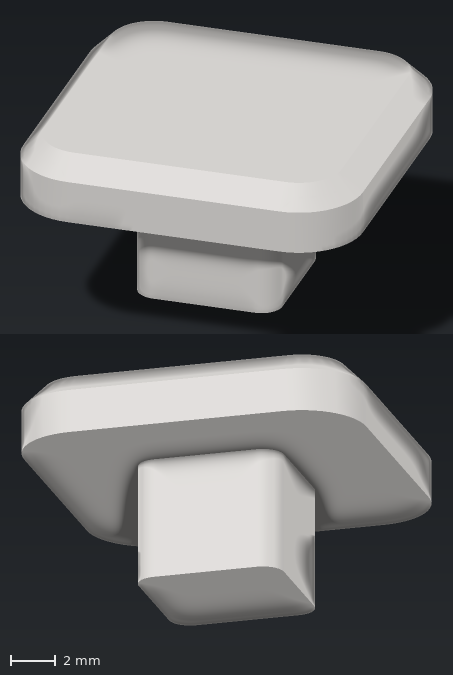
import cadquery as cq

cap_width = 16.0
cap_thickness = 3.0
cap_corner_radius = 3.0
cap_chamfer = cap_thickness / 3

total_height = 8.6
stem_width = 6.8
stem_length = total_height - cap_thickness
stem_corner_radius = 1.0


def rounded_square_block(width, height, corner_radius):
    """Square block standing on Z = 0 with rounded vertical edges."""
    block = cq.Workplane("XY").rect(width, width).extrude(height)
    return block.edges("|Z").fillet(corner_radius)


stem = rounded_square_block(stem_width, stem_length, stem_corner_radius)

cap = rounded_square_block(cap_width, cap_thickness, cap_corner_radius)
cap = cap.faces(">Z").edges().chamfer(cap_chamfer)

result = stem.union(cap.translate((0, 0, stem_length)))